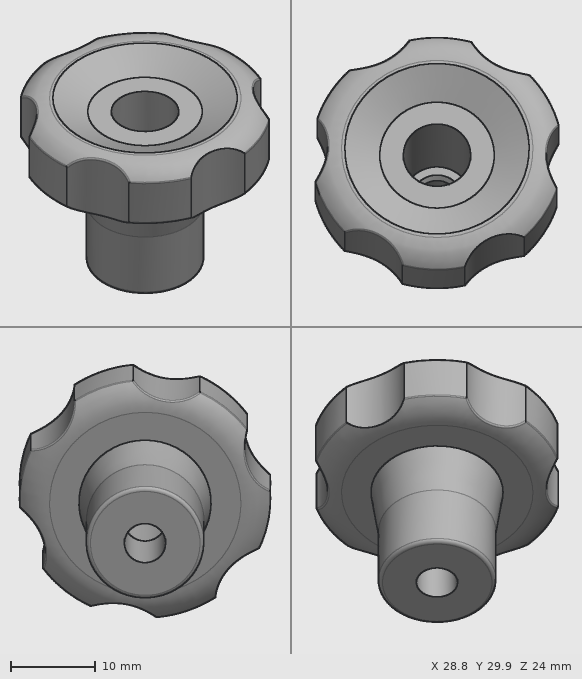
import cadquery as cq
import math

total_height = 24.0
head_radius = 14.95
head_height = 8.9
head_bottom = total_height - head_height

rim_arc_radius = 5.0
rim_flat_radius = 11.4
rim_edge_radius = 0.25

scallop_count = 6
scallop_radius = 6.58
scallop_center_radius = 19.6

neck_top_radius = 7.85
collar_radius = 14.0 / 2
collar_height = 8.6
collar_fillet = 0.48

dish_top_radius = 10.97
dish_floor_radius = 6.82
dish_depth = 2.0
dish_floor = total_height - dish_depth

counterbore_radius = 8.0 / 2
counterbore_floor = collar_height
bore_radius = 4.9 / 2
bore_chamfer = 0.5


def rim_drop(radius):
    """Axial distance of the rim arc from the flat face at a given radius."""
    return rim_arc_radius - math.sqrt(rim_arc_radius**2 - (radius - rim_flat_radius) ** 2)


def axis_distance(point):
    """Distance of a point from the Z axis."""
    return math.hypot(point.x, point.y)


def make_head():
    """Disc with rounded rims and scallops, its rim edges softened."""
    mid_radius = (rim_flat_radius + head_radius) / 2
    mid_drop = rim_drop(mid_radius)
    edge_drop = rim_drop(head_radius)
    head = (
        cq.Workplane("XZ")
        .moveTo(0, head_bottom)
        .lineTo(rim_flat_radius, head_bottom)
        .threePointArc((mid_radius, head_bottom + mid_drop), (head_radius, head_bottom + edge_drop))
        .lineTo(head_radius, total_height - edge_drop)
        .threePointArc((mid_radius, total_height - mid_drop), (rim_flat_radius, total_height))
        .lineTo(0, total_height)
        .close()
        .revolve(360, (0, 0, 0), (0, 1, 0))
    )
    scallops = (
        cq.Workplane("XY")
        .workplane(offset=head_bottom)
        .polarArray(scallop_center_radius, 0, 360, scallop_count)
        .circle(scallop_radius)
        .extrude(head_height)
    )
    head = head.cut(scallops)
    rim_edges = [
        edge
        for edge in head.edges("not |Z").vals()
        if min(axis_distance(edge.startPoint()), axis_distance(edge.endPoint())) > mid_radius
    ]
    return head.newObject(rim_edges).fillet(rim_edge_radius)


def make_stem():
    """Cylindrical collar with a neck flaring up to the head."""
    collar = cq.Workplane("XY").circle(collar_radius).extrude(collar_height)
    collar = collar.faces("<Z").edges().fillet(collar_fillet)
    neck = (
        cq.Workplane("XY")
        .workplane(offset=collar_height)
        .circle(collar_radius)
        .workplane(offset=head_bottom - collar_height)
        .circle(neck_top_radius)
        .loft()
    )
    return collar.union(neck)


def make_cavity():
    """Dish, counterbore and chamfered through bore as one revolved tool."""
    return (
        cq.Workplane("XZ")
        .polyline(
            [
                (0, 0),
                (bore_radius, 0),
                (bore_radius, counterbore_floor - bore_chamfer),
                (bore_radius + bore_chamfer, counterbore_floor),
                (counterbore_radius, counterbore_floor),
                (counterbore_radius, dish_floor),
                (dish_floor_radius, dish_floor),
                (dish_top_radius, total_height),
                (0, total_height),
            ]
        )
        .close()
        .revolve(360, (0, 0, 0), (0, 1, 0))
    )


result = make_head().union(make_stem()).cut(make_cavity())